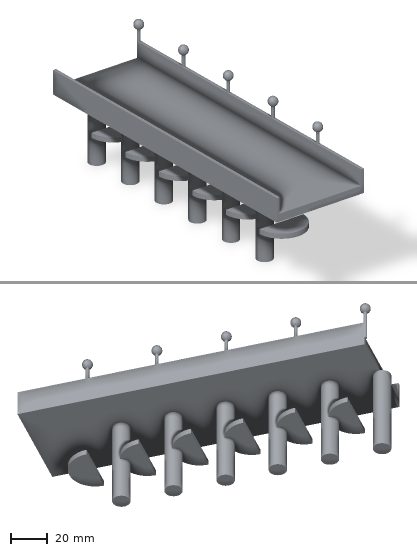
import cadquery as cq

overall_length = 205.0

column_diameter = 10.0
column_height = 50.0
column_count = 6

deck_length = overall_length - column_diameter / 2
deck_width = 60.0
deck_thickness = 5.0
rail_thickness = 2.0
rail_top = 15.0

column_pitch = deck_width / 2
disc_radius = column_pitch / 2
disc_thickness = 3.0
disc_bottom = -column_height / 2

lamp_count = 5
lamp_pitch = deck_length / lamp_count
lamp_y = (deck_width - rail_thickness) / 2
post_diameter = 2.0
ball_diameter = 6.0
ball_height = 20.0


def make_deck():
    """Channel section extruded along X."""
    half_width = deck_width / 2
    inner_half_width = half_width - rail_thickness
    return (
        cq.Workplane("YZ")
        .moveTo(-half_width, 0)
        .lineTo(half_width, 0)
        .lineTo(half_width, rail_top)
        .lineTo(inner_half_width, rail_top)
        .lineTo(inner_half_width, deck_thickness)
        .lineTo(-inner_half_width, deck_thickness)
        .lineTo(-inner_half_width, rail_top)
        .lineTo(-half_width, rail_top)
        .close()
        .extrude(deck_length)
    )


def make_column(x):
    """Round column hanging down from the deck underside."""
    return cq.Workplane("XY").center(x, 0).circle(column_diameter / 2).extrude(-column_height)


def make_half_disc(bay):
    """Half disc in a bay, flat side facing -X and round side reaching the next column axis."""
    flat_x = bay * column_pitch + column_pitch / 2
    return (
        cq.Workplane("XY", origin=(flat_x, 0, disc_bottom))
        .moveTo(0, -disc_radius)
        .threePointArc((disc_radius, 0), (0, disc_radius))
        .close()
        .extrude(disc_thickness)
    )


def make_lamp(x):
    """Post rising from the deck surface, with its ball."""
    base = cq.Workplane("XY", origin=(x, lamp_y, deck_thickness))
    post = base.circle(post_diameter / 2).extrude(ball_height)
    ball = base.sphere(ball_diameter / 2).translate((0, 0, ball_height))
    return post.union(ball)


bridge = make_deck()
for i in range(column_count):
    bridge = bridge.union(make_column(i * column_pitch))
for i in range(column_count - 1):
    bridge = bridge.union(make_half_disc(i))
for i in range(lamp_count):
    bridge = bridge.union(make_lamp(i * lamp_pitch))

loose_half_disc = make_half_disc(column_count - 1)

result = cq.Compound.makeCompound([bridge.solids().val(), loose_half_disc.val()])